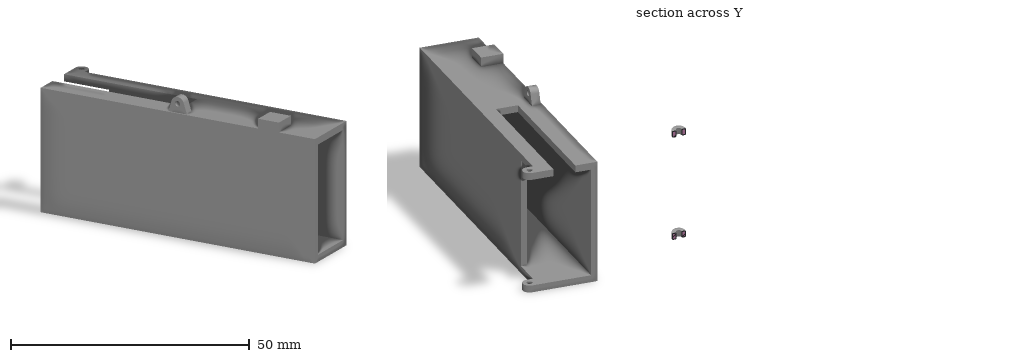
import cadquery as cq
import math

length = 66.0
depth = 13.3
height = 27.6
side_wall = 1.4
plate = 1.6
back_wall_start = 9.65

slot_length = 32.0
slot_front = 4.95
slot_width = 4.95

ear_radius = 1.5
ear_reach = 2.9
ear_hole_diameter = 1.25

lug_x = 32.75
lug_front = 0.4
lug_thickness = 2.0
lug_base_half_width = 2.25
lug_radius = 1.5
lug_height = 3.5
lug_hole_diameter = 1.2

block_x = 52.35
block_side = 5.0
block_height = 2.2


def box(x, y, z, size_x, size_y, size_z):
    """Box placed by its lowest corner."""
    return cq.Workplane("XY").box(size_x, size_y, size_z, centered=False).translate((x, y, z))


def make_sleeve():
    inner_depth = depth - 2 * side_wall
    sleeve = box(0, 0, 0, length, depth, height)
    sleeve = sleeve.cut(box(0, side_wall, plate, length, inner_depth, height - 2 * plate))
    back_gap = box(0, depth - side_wall, plate, back_wall_start, side_wall, height - 2 * plate)
    slot = box(0, slot_front, height - plate, slot_length, slot_width, plate)
    return sleeve.cut(back_gap).cut(slot)


def make_ear(bottom):
    center_y = depth + ear_reach - ear_radius
    return (
        cq.Workplane("XY", origin=(0, 0, bottom))
        .moveTo(0, depth - side_wall)
        .lineTo(2 * ear_radius, depth - side_wall)
        .lineTo(2 * ear_radius, center_y)
        .threePointArc((ear_radius, depth + ear_reach), (0, center_y))
        .close()
        .extrude(plate)
        .cut(
            cq.Workplane("XY", origin=(ear_radius, center_y, bottom))
            .circle(ear_hole_diameter / 2)
            .extrude(plate)
        )
    )


def make_lug():
    center_z = lug_height - lug_radius
    center_to_corner = math.hypot(lug_base_half_width, center_z)
    corner_angle = math.atan2(-center_z, lug_base_half_width)
    tangent_angle = corner_angle + math.acos(lug_radius / center_to_corner)
    tangent_x = lug_radius * math.cos(tangent_angle)
    tangent_z = center_z + lug_radius * math.sin(tangent_angle)
    lug_plane = cq.Workplane("XZ", origin=(lug_x, lug_front + lug_thickness, height))
    hole = lug_plane.center(0, center_z).circle(lug_hole_diameter / 2).extrude(lug_thickness)
    return (
        lug_plane.moveTo(-lug_base_half_width, 0)
        .lineTo(lug_base_half_width, 0)
        .lineTo(tangent_x, tangent_z)
        .threePointArc((0, lug_height), (-tangent_x, tangent_z))
        .close()
        .extrude(lug_thickness)
        .cut(hole)
    )


result = make_sleeve()
for ear_bottom in (0, height - plate):
    result = result.union(make_ear(ear_bottom))
result = result.union(make_lug())
result = result.union(box(block_x, 0, height, block_side, block_side, block_height))